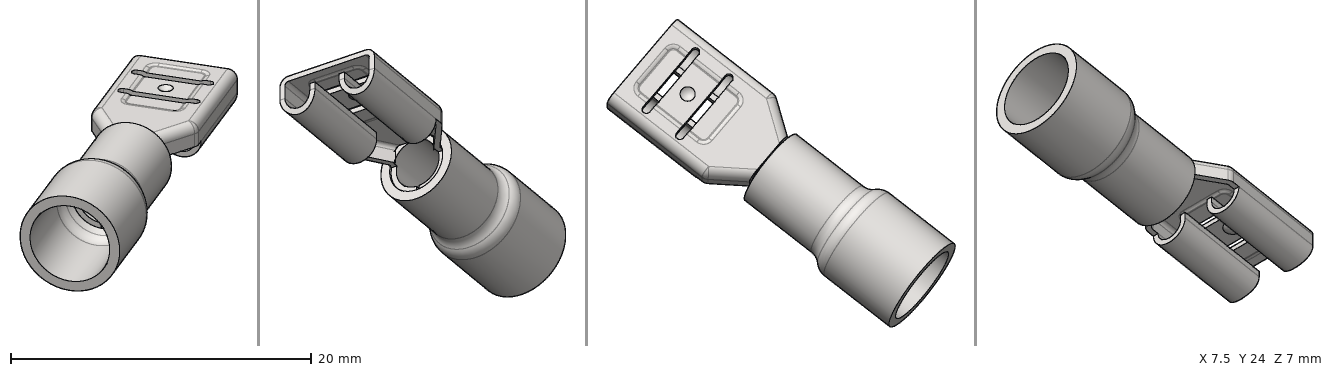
import cadquery as cq
import math


sleeve_length = 13.0
wide_radius = 7.0 / 2
neck_radius = 5.6 / 2
neck_bore_radius = 4.2 / 2
wide_bore_radius = neck_radius
shoulder_start = 5.6
shoulder_end = 7.27
shoulder_mid = (shoulder_start + shoulder_end) / 2

bore_mid_radius = (wide_bore_radius + neck_bore_radius) / 2
cone_slope = 2 * math.atan2(wide_bore_radius - bore_mid_radius, shoulder_mid - shoulder_start)
barrel_start = shoulder_mid + (bore_mid_radius - neck_bore_radius) / math.tan(cone_slope)

total_length = 24.0
sheet = 0.4
barrel_radius = neck_bore_radius
barrel_slit_width = 0.2
throat_y = 13.2
throat_half_width = 2.02
taper_start = 15.62
tab_width = 7.5
tab_half_width = tab_width / 2
tab_top = barrel_radius
wall_bottom = 0.43
tab_edge_radius = 0.7
taper_bend_radius = 0.72

roll_length = 7.6
roll_radius = 1.4
roll_lip_height = 0.5
roll_lead_in_radius = 3.77

panel_y = 20.06
panel_length = 6.5
panel_width = 4.46
panel_corner_radius = 0.72
panel_depth = 0.1
panel_floor = tab_top - panel_depth
panel_edge_run = 0.3
panel_foot_run = 0.07
dimple_y = 20.14
dimple_ball_radius = 0.7
dimple_radius = 0.5
slot_spacing = 2.88
slot_length = 5.74
slot_width = 0.58


def make_sleeve():
    outer_mid_radius = (wide_radius + neck_radius) / 2
    profile = (
        cq.Workplane("XY")
        .moveTo(wide_radius, 0)
        .lineTo(wide_radius, shoulder_start)
        .tangentArcPoint((outer_mid_radius, shoulder_mid), relative=False)
        .tangentArcPoint((neck_radius, shoulder_end), relative=False)
        .lineTo(neck_radius, sleeve_length)
        .lineTo(neck_bore_radius, sleeve_length)
        .lineTo(neck_bore_radius, barrel_start)
        .lineTo(bore_mid_radius, shoulder_mid)
        .tangentArcPoint((wide_bore_radius, shoulder_start), relative=False)
        .lineTo(wide_bore_radius, 0)
        .close()
    )
    return profile.revolve(360, (0, 0, 0), (0, 1, 0))


def make_tab_block(inset):
    """Tapered block with rounded upper edges, inset from the tab's outer faces."""
    taper = math.atan2(tab_half_width - throat_half_width, taper_start - throat_y)
    half_width = tab_half_width - inset
    corner_y = taper_start + inset * math.tan(taper / 2)
    throat = throat_half_width - inset / math.cos(taper)
    outline = [
        (half_width, total_length),
        (half_width, corner_y),
        (throat, throat_y),
        (-throat, throat_y),
        (-half_width, corner_y),
        (-half_width, total_length),
    ]
    block = (
        cq.Workplane("XY", origin=(0, 0, wall_bottom))
        .polyline(outline)
        .close()
        .extrude(tab_top - inset - wall_bottom)
    )
    block = block.edges("|Z").edges("not(<Y or >Y)").fillet(taper_bend_radius - inset)
    return block.faces(">Z").edges("not(<Y or >Y)").fillet(tab_edge_radius - inset)


def make_barrel():
    length = throat_y - barrel_start
    barrel = (
        cq.Workplane("XZ", origin=(0, throat_y, 0))
        .circle(barrel_radius)
        .circle(barrel_radius - sheet)
        .extrude(length)
    )
    slit = (
        cq.Workplane("XY", origin=(0, barrel_start, -barrel_radius))
        .box(barrel_slit_width, length, barrel_radius, centered=(True, False, False))
    )
    relief = (
        cq.Workplane("XY", origin=(0, sleeve_length, wall_bottom))
        .rect(2 * barrel_radius, 2 * (throat_y - sleeve_length))
        .extrude(-2 * barrel_radius)
    )
    return barrel.cut(slit).cut(relief)


def make_roll():
    """Rolled edge on the +X side: half ring and straight lip."""
    center_x = tab_half_width - roll_radius
    inner_radius = roll_radius - sheet
    lip_x = center_x - roll_radius
    lip_top = wall_bottom + roll_lip_height
    roll = (
        cq.Workplane("XZ", origin=(0, total_length, 0))
        .moveTo(tab_half_width, wall_bottom)
        .threePointArc((center_x, wall_bottom - roll_radius), (lip_x, wall_bottom))
        .lineTo(lip_x, lip_top)
        .lineTo(lip_x + sheet, lip_top)
        .lineTo(lip_x + sheet, wall_bottom)
        .threePointArc((center_x, wall_bottom - inner_radius), (tab_half_width - sheet, wall_bottom))
        .close()
        .extrude(roll_length)
    )
    lead_in_end = total_length - roll_lead_in_radius
    lead_in_bottom = wall_bottom - roll_lead_in_radius
    lead_in = (
        cq.Workplane("YZ")
        .moveTo(total_length, wall_bottom)
        .radiusArc((lead_in_end, lead_in_bottom), roll_lead_in_radius)
        .lineTo(total_length, lead_in_bottom)
        .close()
        .extrude(tab_width)
    )
    return roll.cut(lead_in)


def make_panel_recess():
    """Recess cutter: flat core plus a swept wall of a wide convex and a tight concave arc."""
    wall_run = panel_edge_run + panel_foot_run
    edge_drop = panel_depth * panel_edge_run / wall_run
    half_width = panel_width / 2
    floor_edge = half_width - wall_run
    floor_corner_radius = panel_corner_radius - wall_run
    wall_overlap = floor_corner_radius / 2
    core = (
        cq.Workplane("XY", origin=(0, panel_y, panel_floor))
        .rect(2 * floor_edge, panel_length - 2 * wall_run)
        .extrude(panel_depth)
        .edges("|Z")
        .fillet(floor_corner_radius)
    )
    rim = (
        cq.Workplane("XY", origin=(0, panel_y, panel_floor))
        .rect(panel_width, panel_length)
        .extrude(panel_depth)
        .edges("|Z")
        .fillet(panel_corner_radius)
        .faces(">Z")
        .wires()
    )
    wall = (
        cq.Workplane("XZ", origin=(0, panel_y, 0))
        .moveTo(floor_edge - wall_overlap, panel_floor)
        .lineTo(floor_edge, panel_floor)
        .tangentArcPoint((half_width - panel_edge_run, tab_top - edge_drop), relative=False)
        .tangentArcPoint((half_width, tab_top), relative=False)
        .lineTo(floor_edge - wall_overlap, tab_top)
        .close()
        .sweep(rim)
    )
    return core.union(wall)


def make_dimple_cap(ball_radius):
    """Part below the panel floor of a ball about the dimple's center."""
    center_rise = math.sqrt(dimple_ball_radius**2 - dimple_radius**2)
    ball = cq.Workplane("XY", origin=(0, dimple_y, panel_floor + center_rise)).sphere(ball_radius)
    below_floor = (
        cq.Workplane("XY", origin=(0, dimple_y, panel_floor))
        .rect(2 * ball_radius, 2 * ball_radius)
        .extrude(-ball_radius)
    )
    return ball.intersect(below_floor)


def make_terminal():
    shell = make_tab_block(0).cut(make_tab_block(sheet))
    roll = make_roll()
    terminal = shell.union(make_barrel()).union(roll).union(roll.mirror("YZ"))
    panel = make_panel_recess()
    terminal = terminal.union(panel.translate((0, 0, -sheet))).cut(panel)
    bump = make_dimple_cap(dimple_ball_radius + sheet)
    terminal = terminal.union(bump).cut(make_dimple_cap(dimple_ball_radius))

    slots = (
        cq.Workplane("XY", origin=(0, dimple_y, tab_top))
        .rarray(0.25, slot_spacing, 1, 2)
        .slot2D(slot_length, slot_width)
        .extrude(-2 * sheet)
    )
    return terminal.cut(slots)


sleeve = make_sleeve()
terminal = make_terminal()
result = cq.Compound.makeCompound([sleeve.val(), terminal.val()])